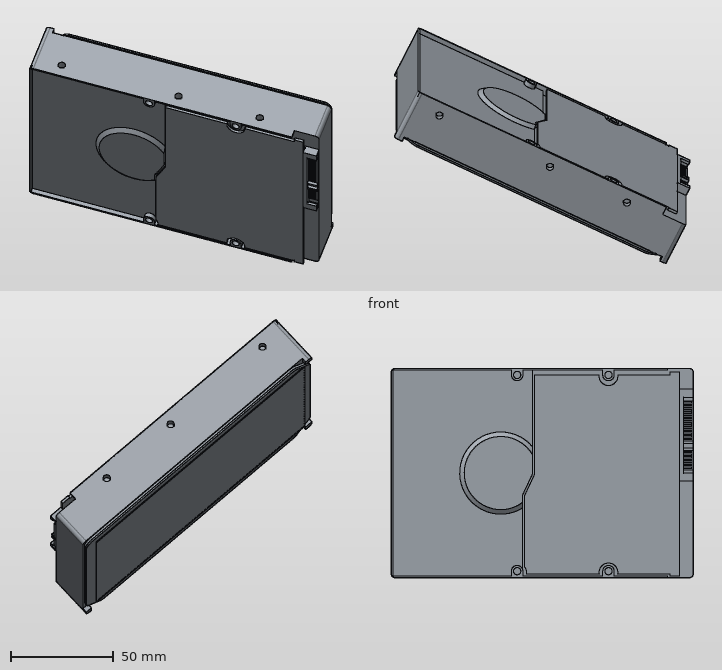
import cadquery as cq

LENGTH = 147.0
DEPTH = 26.2
WIDTH = 101.9
CORNER_RADIUS = 2.0
BACK_FACE_Y = 23.7
POST_LENGTH = 4.1
PLUG_POST_LENGTH = 3.4
POST_WIDTH = 4.0

RIM_WIDTH = 0.9
FRONT_FACE_Y = 2.4
BOARD_FLOOR_Y = 4.1
RIM_END_X = 134.3

MOTOR_X = 53.4
MOTOR_Z = WIDTH / 2
MOTOR_BASE_RADIUS = 20.0
MOTOR_TOP_RADIUS = 17.8
MOTOR_TOP_Y = 0.6

SCREW_X = (61.3, 105.7)
SCREW_INSET = 3.2
SCREW_Z = (SCREW_INSET, WIDTH - SCREW_INSET)
SCREW_BOSS_RADIUS = 2.8
SCREW_HOLE_RADIUS = 1.8
SIDE_HOLE_X = (14.5, 74.4, 116.0)
SIDE_HOLE_Y = 6.3
HOLE_DEPTH = 4.4

BOARD_THICKNESS = 1.3
BOARD_GAP = 0.9
BOARD_NOTCH_RADIUS = 4.5
BOARD_NOTCH_DROP = 0.6
STEP_WIDE_X = 64.0
STEP_NARROW_X = 68.8
STEP_LOW_Z = 40.3
STEP_HIGH_Z = 50.5
BOARD_BOTTOM_Z = 1.8
BOARD_TOP_Z = WIDTH - 3.2
TAB_X = 135.7
TAB_BOTTOM_Z = 0.9
TAB_TOP_Z = WIDTH - 1.8
BOARD_END_X = 140.2

PLUG_START_X = BOARD_END_X
PLUG_BASE_LENGTH = 1.9
PLUG_TOP_Z = WIDTH - 10.1
PLUG_BOTTOM_Z = WIDTH - 54.8
PLUG_WALL_Y = 1.3
PLUG_WINDOW_TOP_Z = WIDTH - 14.1
PLUG_WINDOW_BOTTOM_Z = WIDTH - 51.0
PLUG_SIDE_WALL = 1.8
PLUG_FLOOR_Y = 3.4
TONGUE_Y = 2.5
KEY_Y = 0.9
KEY_WIDTH = 1.2
POWER_TOP_Z = WIDTH - 16.0
POWER_KEY_Z = WIDTH - 36.6
DATA_KEY_Z = WIDTH - 38.8
DATA_BOTTOM_Z = WIDTH - 49.4
POWER_MIDDLE_Z = WIDTH - 25.5
DATA_MIDDLE_Z = WIDTH - 44.5
CONTACT_PITCH = 17.8 / 14
CONTACT_WIDTH = 0.6
CONTACT_HEIGHT = 0.3
CONTACT_END_GAP = 1.0
POWER_CONTACTS = 15
DATA_CONTACTS = 7

GASKET_INSET = 0.9
GASKET_TOP_Y = 24.8
COVER_INSET = 0.6
COVER_TOP_Y = 25.7
LID_SLANT = 11.3
LID_ROUND = 4.3
PANEL_START_X = 4.7
PANEL_END_X = 140.4
PANEL_MARGIN_Z = 6.2


def box(x0, x1, y0, y1, z0, z1):
    """Box between two corners."""
    return cq.Workplane("XY").box(x1 - x0, y1 - y0, z1 - z0, centered=False).translate((x0, y0, z0))


def plate(points, y0, y1):
    """Plate with an outline given as (X, Z) points, from y0 to y1."""
    return cq.Workplane("XZ", origin=(0, y0, 0)).polyline(points).close().extrude(y0 - y1)


def rod(x, z, radius, y0, y1):
    """Cylinder along Y."""
    return cq.Workplane("XZ", origin=(x, y0, z)).circle(radius).extrude(y0 - y1)


def step_points(shift):
    """The slanted step from top to bottom, moved by shift along X."""
    return [
        (STEP_NARROW_X + shift, STEP_HIGH_Z - shift / 2),
        (STEP_WIDE_X + shift, STEP_LOW_Z - shift / 2),
    ]


def motor_bump():
    height = FRONT_FACE_Y - MOTOR_TOP_Y
    return (
        cq.Workplane("XZ", origin=(MOTOR_X, FRONT_FACE_Y, MOTOR_Z))
        .circle(MOTOR_BASE_RADIUS)
        .workplane(offset=height)
        .circle(MOTOR_TOP_RADIUS)
        .loft()
    )


def board_pocket():
    """Deep pocket behind the circuit board, open towards the connector end."""
    top = WIDTH - RIM_WIDTH
    points = [
        (STEP_NARROW_X, top),
        *step_points(0),
        (STEP_WIDE_X, RIM_WIDTH),
        (RIM_END_X, RIM_WIDTH),
        (RIM_END_X, top),
    ]
    return plate(points, 0, BOARD_FLOOR_Y)


def screw_boss(x, z):
    """U-shaped boss that joins the nearer rim."""
    edge = 0 if z < WIDTH / 2 else WIDTH
    boss = rod(x, z, SCREW_BOSS_RADIUS, 0, BOARD_FLOOR_Y)
    web = box(
        x - SCREW_BOSS_RADIUS, x + SCREW_BOSS_RADIUS, 0, BOARD_FLOOR_Y, min(z, edge), max(z, edge)
    )
    return boss.union(web)


def make_housing():
    body = box(0, LENGTH, 0, DEPTH, 0, WIDTH).edges("|Y").fillet(CORNER_RADIUS)

    back = box(0, LENGTH, BACK_FACE_Y, DEPTH, 0, WIDTH)
    back = back.cut(box(0, POST_LENGTH, BACK_FACE_Y, DEPTH, 0, POST_WIDTH))
    back = back.cut(box(0, POST_LENGTH, BACK_FACE_Y, DEPTH, WIDTH - POST_WIDTH, WIDTH))
    back = back.cut(box(LENGTH - PLUG_POST_LENGTH, LENGTH, BACK_FACE_Y, DEPTH, 0, POST_WIDTH))
    body = body.cut(back)

    body = body.cut(box(RIM_WIDTH, RIM_END_X, 0, FRONT_FACE_Y, RIM_WIDTH, WIDTH - RIM_WIDTH))
    body = body.union(motor_bump())
    body = body.cut(board_pocket())
    body = body.cut(box(RIM_END_X, LENGTH, 0, BOARD_FLOOR_Y, 0, WIDTH))

    for x in SCREW_X:
        for z in SCREW_Z:
            body = body.union(screw_boss(x, z))
            body = body.cut(rod(x, z, SCREW_HOLE_RADIUS, 0, HOLE_DEPTH))

    for x in SIDE_HOLE_X:
        for z in (0, WIDTH - HOLE_DEPTH):
            hole = cq.Workplane("XY", origin=(x, SIDE_HOLE_Y, z)).circle(SCREW_HOLE_RADIUS)
            body = body.cut(hole.extrude(HOLE_DEPTH))
    return body


def make_board():
    points = [
        (STEP_NARROW_X + BOARD_GAP, BOARD_TOP_Z),
        *step_points(BOARD_GAP),
        (STEP_WIDE_X + BOARD_GAP, BOARD_BOTTOM_Z),
        (TAB_X, BOARD_BOTTOM_Z),
        (TAB_X, TAB_BOTTOM_Z),
        (BOARD_END_X, TAB_BOTTOM_Z),
        (BOARD_END_X, TAB_TOP_Z),
        (TAB_X, TAB_TOP_Z),
        (TAB_X, BOARD_TOP_Z),
    ]
    board = plate(points, 0, BOARD_THICKNESS)
    for x in SCREW_X:
        for z in SCREW_Z:
            board = board.cut(rod(x, z - BOARD_NOTCH_DROP, BOARD_NOTCH_RADIUS, 0, BOARD_THICKNESS))
    return board


def contact_row(z_middle, count, x0):
    """Row of contact ribs on the front of a tongue, centred on z_middle."""
    ribs = cq.Workplane("XY")
    for i in range(count):
        z = z_middle + (i - (count - 1) / 2) * CONTACT_PITCH
        ribs = ribs.union(
            box(
                x0, LENGTH - CONTACT_END_GAP, TONGUE_Y - CONTACT_HEIGHT, TONGUE_Y,
                z - CONTACT_WIDTH / 2, z + CONTACT_WIDTH / 2,
            )
        )
    return ribs


def make_connector():
    cavity_x = PLUG_START_X + PLUG_BASE_LENGTH
    cavity_bottom = PLUG_BOTTOM_Z + PLUG_SIDE_WALL
    cavity_top = PLUG_TOP_Z - PLUG_SIDE_WALL
    plug = box(PLUG_START_X, LENGTH, 0, BOARD_FLOOR_Y, PLUG_BOTTOM_Z, PLUG_TOP_Z)
    plug = plug.cut(box(cavity_x, LENGTH, 0, PLUG_WALL_Y, PLUG_WINDOW_BOTTOM_Z, PLUG_WINDOW_TOP_Z))
    plug = plug.cut(box(cavity_x, LENGTH, PLUG_WALL_Y, PLUG_FLOOR_Y, cavity_bottom, cavity_top))
    plug = plug.union(box(RIM_END_X, LENGTH, PLUG_FLOOR_Y, BOARD_FLOOR_Y, PLUG_BOTTOM_Z, PLUG_TOP_Z))

    power_contact_z = POWER_KEY_Z + KEY_WIDTH
    data_contact_z = DATA_KEY_Z - KEY_WIDTH
    plug = plug.union(box(cavity_x, LENGTH, TONGUE_Y, BOARD_FLOOR_Y, POWER_KEY_Z, POWER_TOP_Z))
    plug = plug.union(box(cavity_x, LENGTH, KEY_Y, BOARD_FLOOR_Y, POWER_KEY_Z, power_contact_z))
    plug = plug.union(box(cavity_x, LENGTH, TONGUE_Y, BOARD_FLOOR_Y, DATA_BOTTOM_Z, DATA_KEY_Z))
    plug = plug.union(box(cavity_x, LENGTH, KEY_Y, BOARD_FLOOR_Y, data_contact_z, DATA_KEY_Z))

    plug = plug.union(contact_row(POWER_MIDDLE_Z, POWER_CONTACTS, cavity_x))
    return plug.union(contact_row(DATA_MIDDLE_Z, DATA_CONTACTS, cavity_x))


def lid_plate(inset, y0, y1):
    """Plate inset from the housing outline: slanted at the three post corners, round at the other; all edges blended."""
    lid = box(inset, LENGTH - inset, y0, y1, inset, WIDTH - inset)
    lid = lid.edges("|Y").edges("<X or <Z").chamfer(LID_SLANT - 2 * inset)
    return lid.edges("|Y").fillet(LID_ROUND)


def make_gasket():
    return lid_plate(GASKET_INSET, BACK_FACE_Y, GASKET_TOP_Y)


def make_cover():
    """Cover sheet with a raised panel."""
    sheet = lid_plate(COVER_INSET, GASKET_TOP_Y, COVER_TOP_Y)
    panel = box(PANEL_START_X, PANEL_END_X, COVER_TOP_Y, DEPTH, PANEL_MARGIN_Z, WIDTH - PANEL_MARGIN_Z)
    return sheet.union(panel)


housing = make_housing()
board = make_board()
connector = make_connector()
gasket = make_gasket()
cover = make_cover()

result = cq.Compound.makeCompound(
    [housing.val(), board.val(), connector.val(), gasket.val(), cover.val()]
)